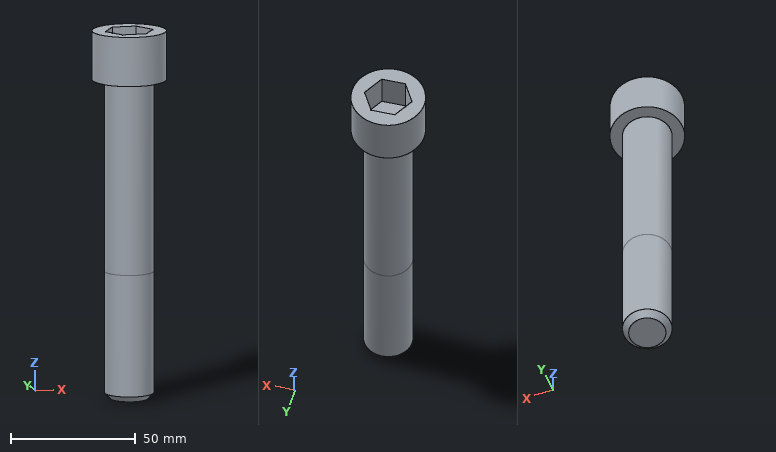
import cadquery as cq
import math

total_length = 150.0
head_diameter = 30.0
shank_diameter = head_diameter / 1.5
head_height = shank_diameter
thread_length = 52.0
tip_chamfer_height = 2.5
tip_chamfer_width = 2.5
socket_across_flats = 17.0
socket_depth = 13.5

shank_length = total_length - head_height
plain_length = shank_length - thread_length
shank_radius = shank_diameter / 2


def make_head():
    return cq.Workplane("XY").circle(head_diameter / 2).extrude(head_height)


def make_plain_shank():
    return cq.Workplane("XY").circle(shank_radius).extrude(-plain_length)


def make_threaded_end():
    """Threaded length as a smooth cylinder with a conical tip."""
    tip_radius = shank_radius - tip_chamfer_width
    return (
        cq.Workplane("XZ")
        .moveTo(0, -plain_length)
        .lineTo(shank_radius, -plain_length)
        .lineTo(shank_radius, -shank_length + tip_chamfer_height)
        .lineTo(tip_radius, -shank_length)
        .lineTo(0, -shank_length)
        .close()
        .revolve(360, (0, 0, 0), (0, 1, 0))
    )


def make_socket():
    """Hexagonal key socket with two corners on the X axis."""
    across_corners = socket_across_flats / math.cos(math.radians(30))
    return (
        cq.Workplane("XY", origin=(0, 0, head_height))
        .polygon(6, across_corners)
        .extrude(-socket_depth)
    )


shank = make_plain_shank().union(make_threaded_end(), clean=False)
result = make_head().union(shank, clean=False).cut(make_socket(), clean=False)